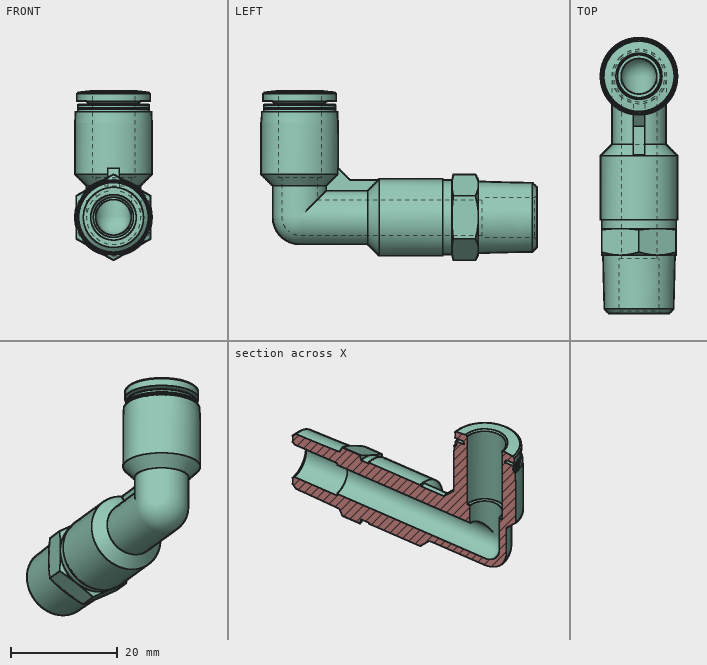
import cadquery as cq

TUBE_R = 5.05
BODY_R = 7.25
BORE_R = 3.34
SHOULDER = BODY_R - TUBE_R

SOCKET_CONE_Z = 5.9
SOCKET_TAPER_Z = 17.7
SOCKET_TOP_Z = 19.8
SOCKET_TOP_R = 7.15
CAP_R = 6.755
CAP_TOP_Z = 21.2
CAP_CHAMFER = 0.2
CAP_GROOVE_R = 6.55
CAP_GROOVE_Z = 20.3
CAP_GROOVE_WIDTH = 0.25
RELEASE_NECK_R = 4.75
RELEASE_FLARE = 0.35
RELEASE_R = 6.91
RELEASE_BOTTOM_Z = 21.8
RELEASE_RIM_Z = 23.15
RELEASE_EDGE = 0.3
TOP_Z = 23.7
TUBE_SEAT_R = 4.01
TUBE_SEAT_Z = 7.5
TUBE_SEAT_CHAMFER = 0.3

STEM_CONE_Y = 12.75
STEM_BODY_END_Y = 26.85
COLLAR_R = 7.01
HEX_START_Y = 28.55
HEX_END_Y = 33.55
HEX_FLATS = 13.95
HEX_FRONT_R = 7.0
HEX_FRONT_CHAMFER = 0.55
HEX_BACK_R = 7.0
HEX_BACK_CHAMFER = 0.25
THREAD_START_R = 6.8
THREAD_END_R = 6.5
THREAD_CHAMFER = 0.9
STEM_END_Y = 44.5
THREAD_BORE_R = 3.75
THREAD_BORE_CHAMFER = 0.5
THREAD_BORE_DEPTH = 10.35

RIB_WIDTH = 2.1
RIB_TOP_Z = 7.05
RIB_SLOPE = 2.15


def turned(profile):
    """Revolve (radius, height) points, closed along the axis, around Z."""
    points = [(0, profile[0][1])] + profile + [(0, profile[-1][1])]
    return cq.Workplane("XZ").polyline(points).close().revolve(360, (0, 0, 0), (0, 1, 0))


def along_stem(solid):
    """Turn a solid built along +Z so that it runs along -Y."""
    return solid.rotate((0, 0, 0), (1, 0, 0), 90)


def socket():
    return turned([
        (TUBE_R, 0),
        (TUBE_R, SOCKET_CONE_Z),
        (BODY_R, SOCKET_CONE_Z + SHOULDER),
        (BODY_R, SOCKET_TAPER_Z),
        (SOCKET_TOP_R, SOCKET_TOP_Z),
        (CAP_R, SOCKET_TOP_Z),
        (CAP_R, CAP_GROOVE_Z),
        (CAP_GROOVE_R, CAP_GROOVE_Z),
        (CAP_GROOVE_R, CAP_GROOVE_Z + CAP_GROOVE_WIDTH),
        (CAP_R, CAP_GROOVE_Z + CAP_GROOVE_WIDTH),
        (CAP_R, CAP_TOP_Z - CAP_CHAMFER),
        (CAP_R - CAP_CHAMFER, CAP_TOP_Z),
        (RELEASE_NECK_R, CAP_TOP_Z),
        (RELEASE_NECK_R, RELEASE_BOTTOM_Z - RELEASE_FLARE),
        (RELEASE_NECK_R + RELEASE_FLARE, RELEASE_BOTTOM_Z),
        (RELEASE_R, RELEASE_BOTTOM_Z),
        (RELEASE_R, RELEASE_RIM_Z),
        (RELEASE_R - RELEASE_EDGE, RELEASE_RIM_Z + RELEASE_EDGE),
        (TUBE_SEAT_R + TUBE_SEAT_CHAMFER, TOP_Z),
    ])


def stem():
    return along_stem(turned([
        (TUBE_R, 0),
        (TUBE_R, STEM_CONE_Y),
        (BODY_R, STEM_CONE_Y + SHOULDER),
        (BODY_R, STEM_BODY_END_Y),
        (COLLAR_R, STEM_BODY_END_Y),
        (COLLAR_R, HEX_START_Y),
        (THREAD_START_R, HEX_START_Y),
        (THREAD_START_R, HEX_END_Y),
        (THREAD_END_R, STEM_END_Y - THREAD_CHAMFER),
        (THREAD_END_R - THREAD_CHAMFER, STEM_END_Y),
    ]))


def hexagon():
    """Wrench hexagon with corners on the Z axis and turned chamfers at both ends."""
    corner_r = HEX_FLATS / 3 ** 0.5
    prism = (
        cq.Workplane("XY")
        .workplane(offset=HEX_START_Y)
        .polygon(6, 2 * corner_r)
        .extrude(HEX_END_Y - HEX_START_Y)
        .rotate((0, 0, 0), (0, 0, 1), 90)
    )
    envelope = turned([
        (HEX_BACK_R, HEX_START_Y),
        (corner_r, HEX_START_Y + HEX_BACK_CHAMFER),
        (corner_r, HEX_END_Y - HEX_FRONT_CHAMFER),
        (HEX_FRONT_R, HEX_END_Y),
    ])
    return along_stem(prism.intersect(envelope))


def rib():
    """Upright web that stops inside both bodies and slopes down at 45 degrees."""
    outline = [
        (0, 0),
        (-STEM_CONE_Y - SHOULDER, 0),
        (-STEM_CONE_Y - SHOULDER, RIB_TOP_Z),
        (-BODY_R - RIB_SLOPE, RIB_TOP_Z),
        (-BODY_R, RIB_TOP_Z + RIB_SLOPE),
        (0, RIB_TOP_Z + RIB_SLOPE),
    ]
    return cq.Workplane("YZ").polyline(outline).close().extrude(RIB_WIDTH / 2, both=True)


def socket_bore():
    return turned([
        (BORE_R, 0),
        (BORE_R, TUBE_SEAT_Z),
        (TUBE_SEAT_R, TUBE_SEAT_Z),
        (TUBE_SEAT_R, TOP_Z - TUBE_SEAT_CHAMFER),
        (TUBE_SEAT_R + TUBE_SEAT_CHAMFER, TOP_Z),
    ])


def stem_bore():
    return along_stem(turned([
        (BORE_R, 0),
        (BORE_R, STEM_END_Y - THREAD_BORE_DEPTH),
        (THREAD_BORE_R, STEM_END_Y - THREAD_BORE_DEPTH),
        (THREAD_BORE_R, STEM_END_Y - THREAD_BORE_CHAMFER),
        (THREAD_BORE_R + THREAD_BORE_CHAMFER, STEM_END_Y),
    ]))


outside = cq.Workplane("XY").sphere(TUBE_R).union(socket()).union(stem()).union(hexagon()).union(rib())
passage = cq.Workplane("XY").sphere(BORE_R).union(socket_bore()).union(stem_bore())
result = outside.cut(passage)